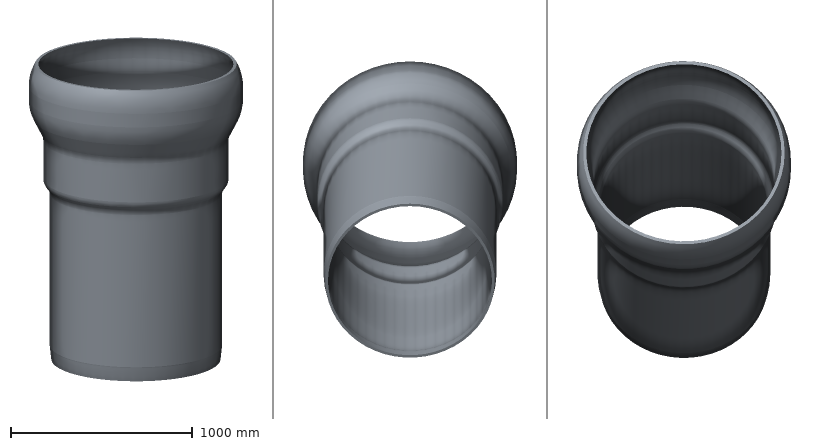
import cadquery as cq
import math

total_height = 1680.0
wall = 14.8

bell_radius = 1178.0 / 2
socket_radius = 1020.0 / 2
pipe_radius = 950.0 / 2
spigot_start_radius = 948.0 / 2
spigot_end_radius = 930.0 / 2

spigot_height = 77.0
spigot_step_height = 5.0
pipe_top = 950.0
socket_bottom = 1032.0
socket_top = 1252.0
bell_bottom = 1480.0
bell_top = 1557.0

bell_bend = 232.0
neck_bend = 79.0
shoulder_bend = 52.0


def transition_angle(rise, widening, bend_sum):
    """Angle from Z of the cone tangent to the two bends that join two cylinders."""
    offset = bend_sum - widening
    cone_length = math.sqrt(rise**2 + offset**2 - bend_sum**2)
    return math.atan2(rise, offset) - math.atan2(cone_length, bend_sum)


def add_transition(path, low, high, low_bend, high_bend):
    """Draw a flare from the cylinder point low to high: bend, cone, bend."""
    low_radius, low_z = low
    high_radius, high_z = high
    angle = transition_angle(high_z - low_z, high_radius - low_radius, low_bend + high_bend)

    def on_low_bend(turn):
        return (low_radius + low_bend * (1 - math.cos(turn)), low_z + low_bend * math.sin(turn))

    def on_high_bend(turn):
        return (high_radius - high_bend * (1 - math.cos(turn)), high_z - high_bend * math.sin(turn))

    path = path.threePointArc(on_low_bend(angle / 2), on_low_bend(angle))
    path = path.lineTo(*on_high_bend(angle))
    return path.threePointArc(on_high_bend(angle / 2), high)


def solid_inside(inset):
    """Solid of revolution whose surface lies inset from the outer surface."""
    pipe = pipe_radius - inset
    socket = socket_radius - inset
    bell = bell_radius - inset
    crown_bend = bell_bend - inset

    def on_crown(height):
        drop = crown_bend - math.sqrt(crown_bend**2 - height**2)
        return (bell - drop, bell_top + height)

    crown_height = total_height - bell_top
    path = (
        cq.Workplane("XZ")
        .moveTo(0, 0)
        .lineTo(spigot_end_radius - inset, 0)
        .lineTo(spigot_start_radius - inset, spigot_height)
        .lineTo(pipe, spigot_height + spigot_step_height)
        .lineTo(pipe, pipe_top)
    )
    path = add_transition(
        path, (pipe, pipe_top), (socket, socket_bottom), shoulder_bend + inset, shoulder_bend - inset
    )
    path = path.lineTo(socket, socket_top)
    path = add_transition(
        path, (socket, socket_top), (bell, bell_bottom), neck_bend + inset, bell_bend - inset
    )
    path = path.lineTo(bell, bell_top)
    path = path.threePointArc(on_crown(crown_height / 2), on_crown(crown_height))
    return path.lineTo(0, total_height).close().revolve(360, (0, 0), (0, 1))


result = solid_inside(0).cut(solid_inside(wall))